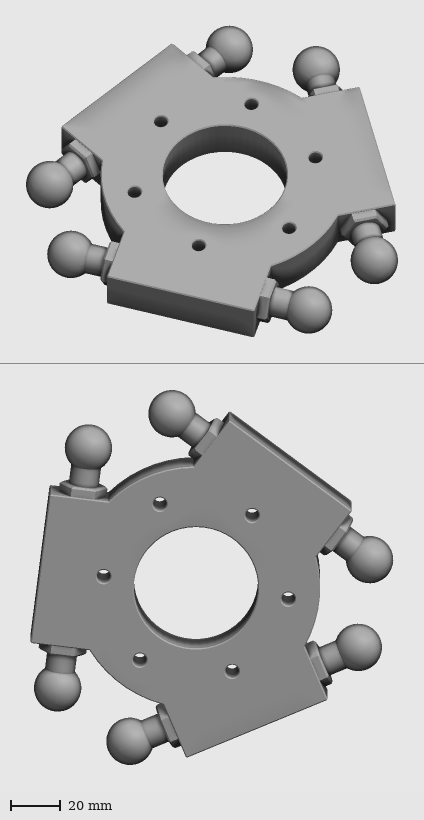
import cadquery as cq
import math

plate_thickness = 18.0
ring_radius = 50.0
bore_radius = 25.0
arm_width = 61.9
arm_reach = 63.3
edge_chamfer = 0.5
arm_count = 3

screw_hole_diameter = 5.5
screw_circle_radius = 37.5
screw_hole_count = 6

ball_diameter = 19.1
ball_offset = 49.9
stem_diameter = 12.1
hex_across_flats = 16.8
hex_height = 4.0
hex_chamfer = 0.8

arm_angle = 360 / arm_count
hex_corner_diameter = hex_across_flats / math.cos(math.pi / 6)


def make_arm(angle):
    """Block from the bore axis out to the arm's end, turned about Z from the -Y direction."""
    block = cq.Workplane("XY").box(arm_width, arm_reach, plate_thickness)
    block = block.edges("|Z and <Y").chamfer(edge_chamfer)
    return block.translate((0, -arm_reach / 2, 0)).rotate((0, 0, 0), (0, 0, 1), angle)


def make_plate():
    plate = cq.Workplane("XY").circle(ring_radius).extrude(plate_thickness / 2, both=True)
    for index in range(arm_count):
        plate = plate.union(make_arm(index * arm_angle))
    plate = plate.cut(cq.Workplane("XY").circle(bore_radius).extrude(plate_thickness / 2, both=True))
    screw_holes = (
        cq.Workplane("XY")
        .polarArray(screw_circle_radius, 90, 360, screw_hole_count)
        .circle(screw_hole_diameter / 2)
        .extrude(plate_thickness / 2, both=True)
    )
    plate = plate.cut(screw_holes)
    return plate.faces("<Z or >Z").edges().chamfer(edge_chamfer)


def make_stud(side, angle):
    """Hexagon, stem and ball on the +X (side = 1) or -X (side = -1) face of the arm at the angle."""
    seat = cq.Workplane("YZ", origin=(arm_width / 2, -ball_offset, 0))
    stud = seat.polygon(6, hex_corner_diameter).extrude(hex_height).faces(">X").chamfer(hex_chamfer)
    stem = seat.circle(stem_diameter / 2).extrude(ball_offset - arm_width / 2)
    ball = cq.Workplane("XY").sphere(ball_diameter / 2).translate((ball_offset, -ball_offset, 0))
    stud = stud.union(stem).union(ball)
    if side < 0:
        stud = stud.mirror("YZ")
    return stud.rotate((0, 0, 0), (0, 0, 1), angle)


plate = make_plate()
studs = [
    make_stud(side, index * arm_angle)
    for index in range(arm_count)
    for side in (1, -1)
]

result = cq.Compound.makeCompound([plate.val(), *[stud.val() for stud in studs]])